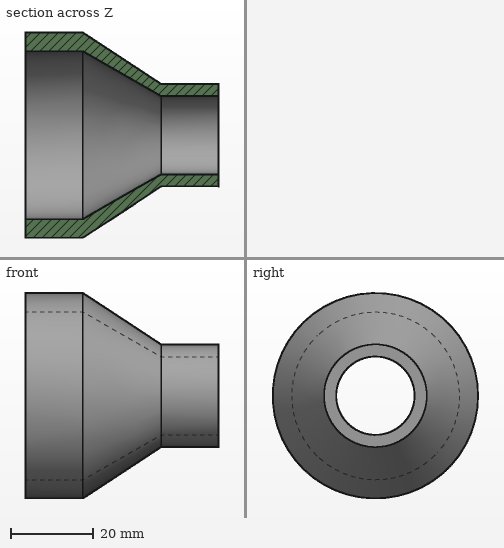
import cadquery as cq

total_length = 47.0
socket_length = 14.0
spigot_length = 14.0

large_outer_diameter = 50.0
large_bore_diameter = 40.8
small_outer_diameter = 25.0
small_bore_diameter = 19.0

cone_start = socket_length
cone_end = total_length - spigot_length


def stepped_cone(large_diameter, small_diameter):
    """Solid of revolution: large cylinder, cone, then small cylinder along +X."""
    large_radius = large_diameter / 2
    small_radius = small_diameter / 2
    half_profile = [
        (0, 0),
        (0, large_radius),
        (cone_start, large_radius),
        (cone_end, small_radius),
        (total_length, small_radius),
        (total_length, 0),
    ]
    return cq.Workplane("XY").polyline(half_profile).close().revolve(360, (0, 0, 0), (1, 0, 0))


outer_body = stepped_cone(large_outer_diameter, small_outer_diameter)
bore = stepped_cone(large_bore_diameter, small_bore_diameter)

result = outer_body.cut(bore)